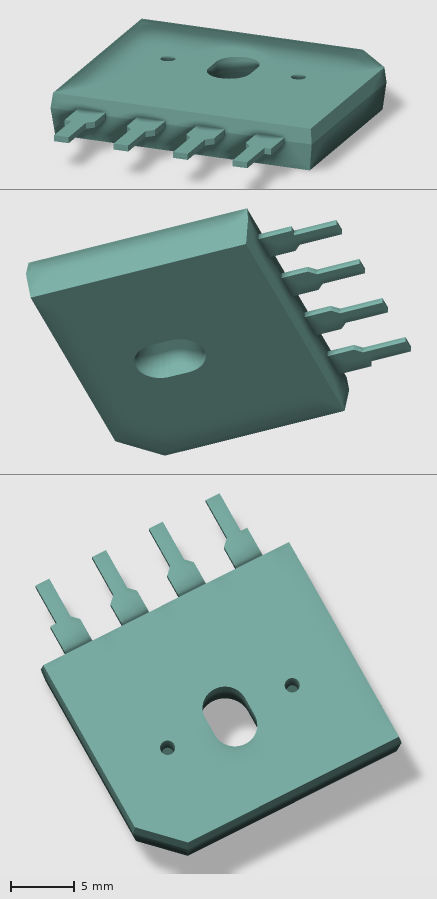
import cadquery as cq
import math

body_width = 22.3
body_length = 18.8
top_height = 1.25
bottom_height = 2.31
draft_angle = 7.0
corner_cut = 3.2

slot_width = 3.55
slot_length = 5.2
slot_center_y = 10.88
dimple_diameter = 1.2
dimple_spacing = 11.15

lead_count = 4
lead_pitch = 5.08
lead_length = 6.35
lead_thickness = 0.5
lead_width = 2.38
tip_width = 1.24
shoulder_length = 2.77
lead_embed = 1.0
shoulder_step = (lead_width - tip_width) / 2


def body_half(height, direction):
    """Drafted half of the body, growing from the parting plane up (+1) or down (-1)."""
    half_width = body_width / 2
    outline = [
        (-half_width, 0),
        (half_width, 0),
        (half_width, body_length - corner_cut),
        (half_width - corner_cut, body_length),
        (-half_width, body_length),
    ]
    return cq.Workplane("XY").polyline(outline).close().extrude(direction * height, taper=draft_angle)


def slot_profile():
    """Slot outline on the parting plane, long axis along Y."""
    return cq.Workplane("XY").center(0, slot_center_y).slot2D(slot_length, slot_width, 90)


def slot_cutter():
    """Through slot with straight walls above the parting plane and flared walls below."""
    upper = slot_profile().extrude(top_height)
    lower = slot_profile().extrude(-bottom_height, taper=-draft_angle)
    return upper.union(lower)


def dimple_cutter(x):
    """Conical blind dimple reaching from the top face down to the parting plane."""
    top_radius = dimple_diameter / 2
    floor_radius = top_radius - top_height * math.tan(math.radians(draft_angle))
    cone = cq.Solid.makeCone(floor_radius, top_radius, top_height)
    return cq.Workplane(cone.translate(cq.Vector(x, slot_center_y, 0)))


def lead_side(side, square):
    """Edge points of a lead on one side, from the body to the tip."""
    outer = side * lead_width / 2
    inner = side * tip_width / 2
    corner_y = -shoulder_length if square else shoulder_step - shoulder_length
    return [
        (outer, lead_embed),
        (outer, corner_y),
        (inner, -shoulder_length),
        (inner, -lead_length),
    ]


def lead(index):
    """Lead with sloped shoulders; the outer shoulder of each end lead is square."""
    x = (index - (lead_count - 1) / 2) * lead_pitch
    left = lead_side(-1, square=index == 0)
    right = lead_side(1, square=index == lead_count - 1)
    outline = left + right[::-1]
    strip = cq.Workplane("XY").polyline(outline).close().extrude(lead_thickness / 2, both=True)
    return strip.translate((x, 0, 0))


result = body_half(top_height, 1).union(body_half(bottom_height, -1))
result = result.cut(slot_cutter())
for dimple_x in (-dimple_spacing / 2, dimple_spacing / 2):
    result = result.cut(dimple_cutter(dimple_x))
for lead_index in range(lead_count):
    result = result.union(lead(lead_index))